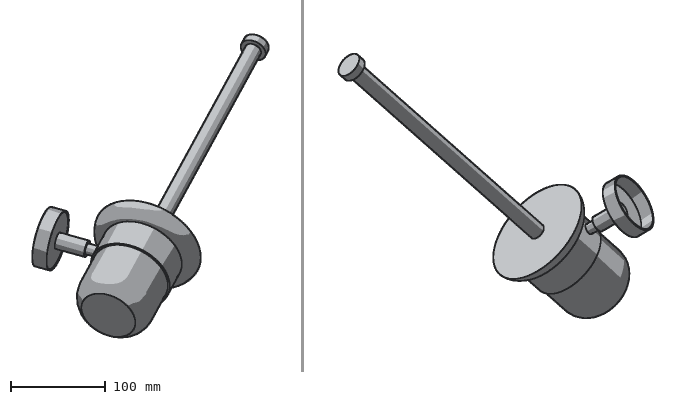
import cadquery as cq
import math


CUP_RADIUS = 42.5
CUP_HEIGHT = 115.0
FLOOR_RADIUS = 30.5
FLOOR_ROUND_HEIGHT = 22.5
LIP_BASE_RADIUS = 46.0
LIP_DIAMETER = 120.0
LIP_RADIUS = LIP_DIAMETER / 2
LIP_BULGE = 3.5

SLEEVE_RADIUS = 44.7
SLEEVE_BOTTOM = 63.5
SLEEVE_TOP = 98.5

OVERALL_WIDTH = 166.0
WALL_X = LIP_RADIUS - OVERALL_WIDTH
MOUNT_Y = 83.5
FLANGE_RADIUS = 32.5
FLANGE_DEPTH = 16.5
FLANGE_WALL = 1.7
FLANGE_FACE = 1.0
POST_RADIUS = 9.0
POST_END_X = WALL_X + 49.5
PIN_RADIUS = 6.0

HANDLE_END = 430.0
ROD_RADIUS = 9.0
CAP_RADIUS = 14.0
CAP_HEIGHT = 9.5


def disc_along_y(radius, start, end):
    """Cylinder on the cup axis between two heights."""
    return cq.Workplane("XZ", origin=(0, start, 0)).circle(radius).extrude(start - end)


def disc_along_x(radius, start, end):
    """Cylinder on the post axis between two X positions."""
    return cq.Workplane("YZ", origin=(start, MOUNT_Y, 0)).circle(radius).extrude(end - start)


def make_cup():
    """Revolved cup with a rounded floor edge and a flared lip."""
    lip_width = LIP_RADIUS - LIP_BASE_RADIUS
    lip_height = CUP_HEIGHT - SLEEVE_TOP
    lip_chord = math.hypot(lip_width, lip_height)
    lip_middle = (
        (LIP_BASE_RADIUS + LIP_RADIUS) / 2 + LIP_BULGE * lip_height / lip_chord,
        (SLEEVE_TOP + CUP_HEIGHT) / 2 - LIP_BULGE * lip_width / lip_chord,
    )
    profile = (
        cq.Workplane("XY")
        .lineTo(0, CUP_HEIGHT)
        .lineTo(LIP_RADIUS, CUP_HEIGHT)
        .threePointArc(lip_middle, (LIP_BASE_RADIUS, SLEEVE_TOP))
        .lineTo(CUP_RADIUS, SLEEVE_TOP)
        .lineTo(CUP_RADIUS, FLOOR_ROUND_HEIGHT)
        .tangentArcPoint((FLOOR_RADIUS, 0), relative=False)
        .close()
    )
    return profile.revolve(360, (0, 0), (0, 1))


def make_sleeve():
    """Plain ring that fits around the cup, under its lip."""
    outside = disc_along_y(SLEEVE_RADIUS, SLEEVE_BOTTOM, SLEEVE_TOP)
    return outside.cut(disc_along_y(CUP_RADIUS, SLEEVE_BOTTOM, SLEEVE_TOP))


def make_flange():
    """Thin-walled round cover, open towards the wall."""
    cover = disc_along_x(FLANGE_RADIUS, WALL_X, WALL_X + FLANGE_DEPTH)
    hollow = disc_along_x(FLANGE_RADIUS - FLANGE_WALL, WALL_X, WALL_X + FLANGE_DEPTH - FLANGE_FACE)
    return cover.cut(hollow)


def make_post():
    """Stepped post from the flange to the curved face of the sleeve."""
    post = disc_along_x(POST_RADIUS, WALL_X + FLANGE_DEPTH, POST_END_X)
    pin = disc_along_x(PIN_RADIUS, POST_END_X, -CUP_RADIUS)
    return post.union(pin).cut(disc_along_y(SLEEVE_RADIUS, SLEEVE_BOTTOM, SLEEVE_TOP))


def make_handle():
    """Rod standing on the cup, with a wider cap at its end."""
    rod = disc_along_y(ROD_RADIUS, CUP_HEIGHT, HANDLE_END - CAP_HEIGHT)
    return rod.union(disc_along_y(CAP_RADIUS, HANDLE_END - CAP_HEIGHT, HANDLE_END))


cup = make_cup()
sleeve = make_sleeve()
flange = make_flange()
post = make_post()
handle = make_handle()

result = cq.Compound.makeCompound([cup.val(), sleeve.val(), flange.val(), post.val(), handle.val()])